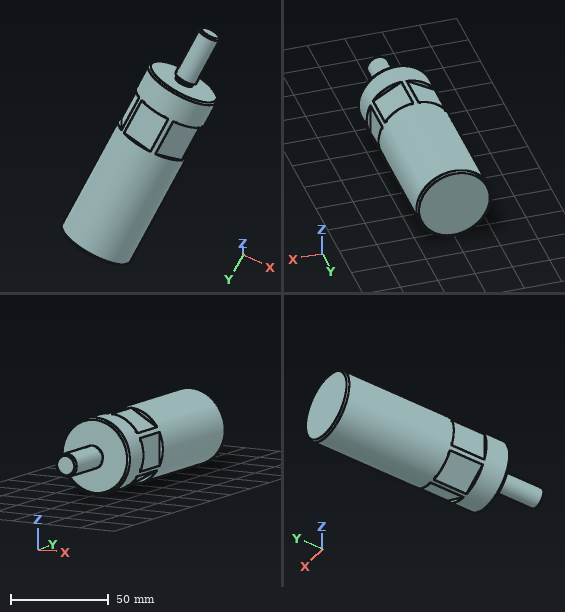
import cadquery as cq

TOTAL_LENGTH = 130.0
STUD_LENGTH = 30.0
BODY_LENGTH = TOTAL_LENGTH - STUD_LENGTH

BODY_DIAMETER = 40.0
BODY_CHAMFER = 1.0

FLAT_COUNT = 6
ACROSS_FLATS = 36.0
FLAT_LENGTH = 20.0
COLLAR_LENGTH = 15.0

STUD_DIAMETER = 12.0
STUD_TIP_DIAMETER = 10.1
NECK_DIAMETER = 9.4
NECK_LENGTH = 1.0


def make_body():
    """Chamfered cylinder from the stud face at Y = 0 to the back face."""
    blank = cq.Workplane("XZ").circle(BODY_DIAMETER / 2).extrude(-BODY_LENGTH)
    return blank.faces("<Y or >Y").edges().chamfer(BODY_CHAMFER)


def cut_wrench_flats(body):
    """Cut equally spaced flats, one pair of which faces -X and +X."""
    cutter_depth = BODY_DIAMETER / 2
    cutter = cq.Workplane("XY").box(
        cutter_depth, FLAT_LENGTH, BODY_DIAMETER, centered=(False, False, True)
    ).translate((ACROSS_FLATS / 2, COLLAR_LENGTH, 0))
    for index in range(FLAT_COUNT):
        angle = index * 360 / FLAT_COUNT
        body = body.cut(cutter.rotate((0, 0, 0), (0, 1, 0), angle))
    return body


def make_stud():
    """Revolved stud with a neck, a 45 degree shoulder and a chamfered tip."""
    stud_radius = STUD_DIAMETER / 2
    neck_radius = NECK_DIAMETER / 2
    tip_radius = STUD_TIP_DIAMETER / 2
    shoulder_end = NECK_LENGTH + stud_radius - neck_radius
    tip_chamfer_start = STUD_LENGTH - (stud_radius - tip_radius)
    profile = [
        (0, 0),
        (neck_radius, 0),
        (neck_radius, -NECK_LENGTH),
        (stud_radius, -shoulder_end),
        (stud_radius, -tip_chamfer_start),
        (tip_radius, -STUD_LENGTH),
        (0, -STUD_LENGTH),
    ]
    return cq.Workplane("XY").polyline(profile).close().revolve(360, (0, 0, 0), (0, 1, 0))


result = cut_wrench_flats(make_body()).union(make_stud())